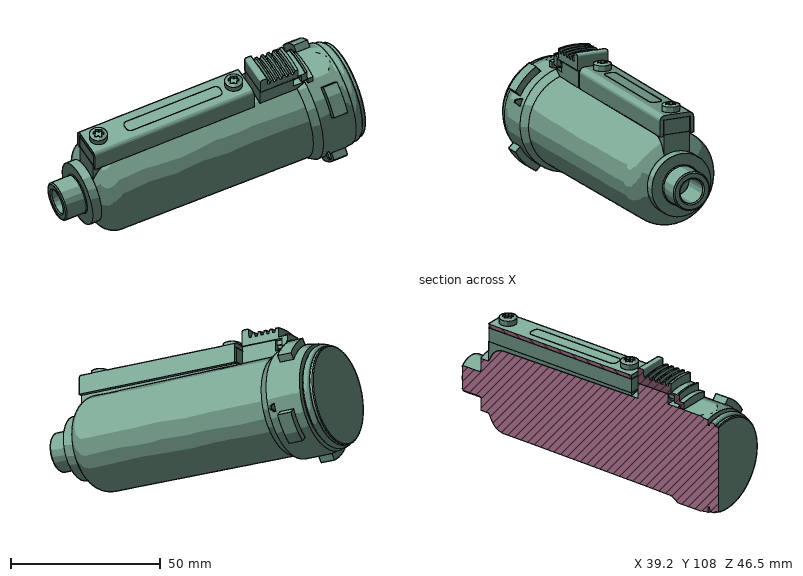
import cadquery as cq
import math

OVERALL_LENGTH = 108.0
OVERALL_WIDTH = 39.2
OVERALL_HEIGHT = 46.5

NOZZLE_RADIUS = 13.5 / 2
NOZZLE_TIP_CHAMFER = 0.4
NOZZLE_ROOT_CHAMFER = 0.3
BORE_RADIUS = 8.5 / 2
BORE_CHAMFER = 0.4
BORE_DEPTH = 10.8
FLANGE_RADIUS = 11.0
FLANGE_FRONT_Y = 7.9
FLANGE_BACK_Y = 11.2

BOWL_END_RADIUS = 16.4
BOWL_WALL_RADIUS = 34.0 / 2
BOWL_WALL_START_Y = 17.8
BOWL_WALL_END_Y = 88.0
BOWL_ROUNDING = 6.2
BOWL_ROUNDING_ANGLE = 60

COLLAR_RADIUS = 37.5 / 2
COLLAR_START_Y = 90.9
COLLAR_END_Y = 100.3
LIP_RADIUS = 18.3
LIP_START_Y = 102.6
LIP_END_Y = 103.6
GROOVE_RADIUS = 16.3
HEAD_RADIUS = 33.8 / 2
HEAD_START_Y = 106.7
HEAD_CHAMFER = 0.3
SEAL_TUBE_RADIUS = 1.3
SEAL_OUTER_RADIUS = 35.5 / 2

FLAT_WIDTH = 8.7
FLAT_Z = math.sqrt(COLLAR_RADIUS**2 - (FLAT_WIDTH / 2) ** 2)

LUG_RADIUS = 21.2
LUG_WIDTH = 10.9
LUG_LENGTH = 5.2
LUG_COUNT = 4
FIRST_LUG_ANGLE = 45
TAB_THICKNESS = 0.6
TAB_START_Y = 92.9
TAB_TOP_Z = 8.5
TAB_TIP_Z = 7.6
TAB_BOTTOM_Z = 6.0
TAB_TIP_X = OVERALL_WIDTH / 2
TAB_POINT_LENGTH = 0.3
TAB_SHOULDER_X = TAB_TIP_X - TAB_POINT_LENGTH
TAB_BOTTOM_X = 17.7
TAB_ROOT_X = 16.2
TAB_ANGLES = (0, 180)

GAUGE_BACK_Y = 71.4
COVER_WIDTH = 12.6
COVER_TOP_Z = 24.1
COVER_BOTTOM_Z = 16.7
COVER_SIDE_THICKNESS = 1.3
COVER_TOP_THICKNESS = 1.6
COVER_ROUNDING = (COVER_WIDTH - FLAT_WIDTH) / 2
GLASS_WIDTH = 9.5
GLASS_SETBACK = 0.1
GLASS_BOTTOM_Z = 17.3
GLASS_TOP_Z = COVER_TOP_Z - COVER_TOP_THICKNESS
WINDOW_WIDTH = 4.4
WINDOW_START_Y = 25.9
WINDOW_END_Y = 62.0
WINDOW_ROUNDING = 1.5
WINDOW_DEPTH = 0.1

SCREW_RADIUS = 6.0 / 2
SCREW_RIM_HEIGHT = 1.9
SCREW_CROWN_HEIGHT = 0.8
SCREW_Y = (15.8, 66.9)
DRIVE_CORE_RADIUS = 1.3
DRIVE_LOBE_RADIUS = 0.5
DRIVE_LOBE_CIRCLE_RADIUS = 1.3
DRIVE_LOBE_COUNT = 6
DRIVE_DEPTH = 1.3

BUTTON_WIDTH = 11.5
BUTTON_FRONT_Y = 74.0
RAIL_WIDTH = 10.6
RAIL_TOP_Z = 22.0
RAIL_BACK_Y = 86.7
LEDGE_TOP_Z = 18.1
BUTTON_WALL_THICKNESS = 2.6
BUTTON_WALL_TOP_Z = OVERALL_HEIGHT - COLLAR_RADIUS
BUTTON_WALL_FRONT_ROUNDING = 0.9
BUTTON_WALL_BACK_ROUNDING = 0.4
RIB_TOP_RADIUS = 26.7
RIB_ROOT_RADIUS = 25.4
RIB_PITCH = 2.3
RIB_COUNT = 5
RIB_BLOCK_BACK_Y = 88.1
VALLEY_FLOOR_WIDTH = 0.8
VALLEY_MOUTH_WIDTH = 1.5
FIRST_VALLEY_Y = 77.2
TONGUE_RADIUS = 23.4
TONGUE_FRONT_Y = 89.4
TONGUE_BACK_Y = 91.6
TONGUE_BOTTOM_Z = 19.3
TONGUE_RIDGE_RADIUS = 23.9
TONGUE_RIDGE_LENGTH = 0.6
FOOT_WIDTH = 12.7
FOOT_RADIUS = 21.3
FOOT_BACK_Y = 93.5
NECK_WIDTH = 8.6
NECK_STEP_Z = 20.4
NECK_LOWER_WIDTH = 7.6


def box_between(width, y_start, y_end, z_bottom, z_top):
    """A box centred on X = 0."""
    box = cq.Workplane("XY").box(width, y_end - y_start, z_top - z_bottom, centered=(True, False, False))
    return box.translate((0, y_start, z_bottom))


def revolve_about_axis(profile):
    """Turn a closed (radius, Y) profile around the bowl axis."""
    return profile.revolve(360, (0, 0, 0), (0, 1, 0))


def disc_between(radius, y_start, y_end):
    """A cylinder on the bowl axis."""
    return cq.Workplane("XZ", origin=(0, y_start, 0)).circle(radius).extrude(y_start - y_end)


def make_turned_bowl():
    rounding_center_radius = BOWL_END_RADIUS - BOWL_ROUNDING
    rounding_angle = math.radians(BOWL_ROUNDING_ANGLE)

    def point_on_rounding(angle):
        return (
            rounding_center_radius + BOWL_ROUNDING * math.cos(angle),
            BOWL_WALL_START_Y - BOWL_ROUNDING * math.sin(angle),
        )

    profile = (
        cq.Workplane("XY")
        .moveTo(0, BORE_DEPTH)
        .lineTo(BORE_RADIUS, BORE_DEPTH)
        .lineTo(BORE_RADIUS, BORE_CHAMFER)
        .lineTo(BORE_RADIUS + BORE_CHAMFER, 0)
        .lineTo(NOZZLE_RADIUS - NOZZLE_TIP_CHAMFER, 0)
        .lineTo(NOZZLE_RADIUS, NOZZLE_TIP_CHAMFER)
        .lineTo(NOZZLE_RADIUS, FLANGE_FRONT_Y - NOZZLE_ROOT_CHAMFER)
        .lineTo(NOZZLE_RADIUS + NOZZLE_ROOT_CHAMFER, FLANGE_FRONT_Y)
        .lineTo(FLANGE_RADIUS, FLANGE_FRONT_Y)
        .lineTo(FLANGE_RADIUS, FLANGE_BACK_Y)
        .lineTo(*point_on_rounding(rounding_angle))
        .threePointArc(point_on_rounding(rounding_angle / 2), (BOWL_END_RADIUS, BOWL_WALL_START_Y))
        .lineTo(BOWL_WALL_RADIUS, BOWL_WALL_END_Y)
        .lineTo(COLLAR_RADIUS, COLLAR_START_Y)
        .lineTo(COLLAR_RADIUS, COLLAR_END_Y)
        .lineTo(LIP_RADIUS, LIP_START_Y)
        .lineTo(LIP_RADIUS, LIP_END_Y)
        .lineTo(GROOVE_RADIUS, LIP_END_Y)
        .lineTo(GROOVE_RADIUS, HEAD_START_Y)
        .lineTo(HEAD_RADIUS, HEAD_START_Y)
        .lineTo(HEAD_RADIUS, OVERALL_LENGTH - HEAD_CHAMFER)
        .lineTo(HEAD_RADIUS - HEAD_CHAMFER, OVERALL_LENGTH)
        .lineTo(0, OVERALL_LENGTH)
        .close()
    )
    return revolve_about_axis(profile)


def make_seal_bead():
    """The round bead in the groove, touching the back face of the head."""
    bead_y = HEAD_START_Y - SEAL_TUBE_RADIUS
    ring_radius = SEAL_OUTER_RADIUS - SEAL_TUBE_RADIUS
    profile = (
        cq.Workplane("XY")
        .moveTo(ring_radius, bead_y - SEAL_TUBE_RADIUS)
        .threePointArc((SEAL_OUTER_RADIUS, bead_y), (ring_radius, bead_y + SEAL_TUBE_RADIUS))
        .lineTo(0, bead_y + SEAL_TUBE_RADIUS)
        .lineTo(0, bead_y - SEAL_TUBE_RADIUS)
        .close()
    )
    return revolve_about_axis(profile)


def make_lug(angle):
    lug_start_y = COLLAR_END_Y - LUG_LENGTH
    block = box_between(LUG_WIDTH, lug_start_y, COLLAR_END_Y, 0, LUG_RADIUS)
    lug = block.intersect(disc_between(LUG_RADIUS, lug_start_y, COLLAR_END_Y))
    return lug.rotate((0, 0, 0), (0, 1, 0), angle)


def make_tab(angle):
    outline = [
        (-TAB_ROOT_X, TAB_TOP_Z),
        (-TAB_SHOULDER_X, TAB_TOP_Z),
        (-TAB_TIP_X, TAB_TIP_Z),
        (-TAB_BOTTOM_X, TAB_BOTTOM_Z),
        (-TAB_ROOT_X, TAB_BOTTOM_Z),
    ]
    tab = cq.Workplane("XZ", origin=(0, TAB_START_Y, 0)).polyline(outline).close().extrude(-TAB_THICKNESS)
    return tab.rotate((0, 0, 0), (0, 1, 0), angle)


def make_flat_cutter():
    """Cuts the flat along the top of the collar."""
    return box_between(FLAT_WIDTH, BOWL_WALL_END_Y, LIP_END_Y, FLAT_Z, COLLAR_RADIUS)


def make_bowl():
    bowl = make_turned_bowl().cut(make_flat_cutter())
    bowl = bowl.union(make_seal_bead())
    for index in range(LUG_COUNT):
        bowl = bowl.union(make_lug(FIRST_LUG_ANGLE + index * 360 / LUG_COUNT))
    for angle in TAB_ANGLES:
        bowl = bowl.union(make_tab(angle))
    pedestal = box_between(GLASS_WIDTH, FLANGE_BACK_Y, GAUGE_BACK_Y, 0, GLASS_BOTTOM_Z)
    rail = box_between(RAIL_WIDTH, BUTTON_FRONT_Y, RAIL_BACK_Y, 0, RAIL_TOP_Z)
    ledge = box_between(RAIL_WIDTH, RAIL_BACK_Y, COLLAR_START_Y, 0, LEDGE_TOP_Z)
    return bowl.union(pedestal).union(rail).union(ledge)


def make_channel():
    """The channel with a shallow window in its top."""
    inner_width = COVER_WIDTH - 2 * COVER_SIDE_THICKNESS
    channel = box_between(COVER_WIDTH, FLANGE_BACK_Y, GAUGE_BACK_Y, COVER_BOTTOM_Z, COVER_TOP_Z)
    channel = channel.edges("|Y and >Z").fillet(COVER_ROUNDING)
    channel = channel.cut(box_between(inner_width, FLANGE_BACK_Y, GAUGE_BACK_Y, COVER_BOTTOM_Z, GLASS_TOP_Z))
    window_floor_z = COVER_TOP_Z - WINDOW_DEPTH
    window = box_between(WINDOW_WIDTH, WINDOW_START_Y, WINDOW_END_Y, window_floor_z, COVER_TOP_Z)
    return channel.cut(window.edges("|Z").fillet(WINDOW_ROUNDING))


def make_screw_head(y):
    head_height = SCREW_RIM_HEIGHT + SCREW_CROWN_HEIGHT
    crown_middle_radius = SCREW_RADIUS / 2
    sphere_radius = (SCREW_RADIUS**2 + SCREW_CROWN_HEIGHT**2) / (2 * SCREW_CROWN_HEIGHT)
    crown_middle_z = head_height - sphere_radius + math.sqrt(sphere_radius**2 - crown_middle_radius**2)
    profile = (
        cq.Workplane("XZ")
        .lineTo(SCREW_RADIUS, 0)
        .lineTo(SCREW_RADIUS, SCREW_RIM_HEIGHT)
        .threePointArc((crown_middle_radius, crown_middle_z), (0, head_height))
        .close()
    )
    head = profile.revolve(360, (0, 0, 0), (0, 1, 0))
    floor = cq.Workplane("XY", origin=(0, 0, head_height - DRIVE_DEPTH))
    drive = floor.circle(DRIVE_CORE_RADIUS).extrude(DRIVE_DEPTH)
    lobes = (
        floor.polarArray(DRIVE_LOBE_CIRCLE_RADIUS, 0, 360, DRIVE_LOBE_COUNT)
        .circle(DRIVE_LOBE_RADIUS)
        .extrude(DRIVE_DEPTH)
    )
    return head.cut(drive.union(lobes)).translate((0, y, COVER_TOP_Z))


def make_gauge():
    glass_start_y = FLANGE_BACK_Y + GLASS_SETBACK
    glass_end_y = GAUGE_BACK_Y - GLASS_SETBACK
    glass = box_between(GLASS_WIDTH, glass_start_y, glass_end_y, GLASS_BOTTOM_Z, GLASS_TOP_Z)
    gauge = make_channel().union(glass)
    for y in SCREW_Y:
        gauge = gauge.union(make_screw_head(y))
    return gauge


def make_valley_cutter(y):
    """A trapezoidal groove that runs round the bowl axis between two ribs."""
    profile = (
        cq.Workplane("XY")
        .polyline([
            (RIB_ROOT_RADIUS, y - VALLEY_FLOOR_WIDTH / 2),
            (RIB_TOP_RADIUS, y - VALLEY_MOUTH_WIDTH / 2),
            (RIB_TOP_RADIUS, y + VALLEY_MOUTH_WIDTH / 2),
            (RIB_ROOT_RADIUS, y + VALLEY_FLOOR_WIDTH / 2),
        ])
        .close()
    )
    return revolve_about_axis(profile)


def make_rounded_block(width, y_start, y_end, z_bottom, top_radius):
    """A block whose top is curved around the bowl axis."""
    block = box_between(width, y_start, y_end, z_bottom, top_radius)
    return block.intersect(disc_between(top_radius, y_start, y_end))


def make_ribbed_grip():
    grip = make_rounded_block(BUTTON_WIDTH, BUTTON_FRONT_Y, RIB_BLOCK_BACK_Y, RAIL_TOP_Z, RIB_TOP_RADIUS)
    for index in range(RIB_COUNT):
        grip = grip.cut(make_valley_cutter(FIRST_VALLEY_Y + index * RIB_PITCH))
    wall_back_y = BUTTON_FRONT_Y + BUTTON_WALL_THICKNESS
    wall = box_between(BUTTON_WIDTH, BUTTON_FRONT_Y, wall_back_y, RAIL_TOP_Z, BUTTON_WALL_TOP_Z)
    wall = wall.edges("|X and >Z and <Y").fillet(BUTTON_WALL_FRONT_ROUNDING)
    wall = wall.edges("|X and >Z and >Y").fillet(BUTTON_WALL_BACK_ROUNDING)
    return grip.union(wall)


def make_catch():
    """The catch behind the rail: bridge, drop-down tongue, ridge, stepped neck and foot."""
    ridge_front_y = TONGUE_BACK_Y - TONGUE_RIDGE_LENGTH
    bridge = make_rounded_block(BUTTON_WIDTH, RAIL_BACK_Y, TONGUE_BACK_Y, RAIL_TOP_Z, TONGUE_RADIUS)
    drop = make_rounded_block(BUTTON_WIDTH, TONGUE_FRONT_Y, TONGUE_BACK_Y, TONGUE_BOTTOM_Z, TONGUE_RADIUS)
    ridge = make_rounded_block(
        BUTTON_WIDTH, ridge_front_y, TONGUE_BACK_Y, TONGUE_BOTTOM_Z, TONGUE_RIDGE_RADIUS
    )
    neck = box_between(NECK_WIDTH, RAIL_BACK_Y, TONGUE_FRONT_Y, NECK_STEP_Z, RAIL_TOP_Z)
    lower_neck = box_between(NECK_LOWER_WIDTH, RAIL_BACK_Y, TONGUE_FRONT_Y, TONGUE_BOTTOM_Z, NECK_STEP_Z)
    foot = make_rounded_block(FOOT_WIDTH, TONGUE_BACK_Y, FOOT_BACK_Y, FLAT_Z, FOOT_RADIUS)
    return bridge.union(drop).union(ridge).union(neck).union(lower_neck).union(foot)


def make_button():
    return make_ribbed_grip().union(make_catch())


bowl = make_bowl()
gauge = make_gauge()
button = make_button()

result = cq.Compound.makeCompound([bowl.val(), gauge.val(), button.val()])